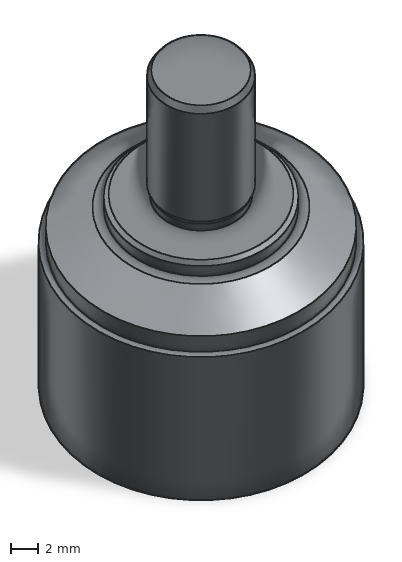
import cadquery as cq

base_top_z = 15.02
cap_shoulder_z = 16.67
cap_top_z = 18.65
collar_top_z = 20.0
neck_top_z = 20.7
shank_start_z = 21.15
stud_top_z = 33.0

base_diameter = 24.0
cap_diameter = 22.9
cap_top_diameter = 16.0
collar_diameter = 14.35
neck_diameter = 7.6
shank_diameter = 8.0

collar_bevel_width = 0.35
collar_bevel_height = 0.3
tip_bevel_width = 0.33
tip_bevel_height = 0.55


def make_base():
    """Plain cylinder that carries the cap."""
    return cq.Workplane("XY").circle(base_diameter / 2).extrude(base_top_z)


def revolve_profile(outline):
    """Revolve a closed outline of (radius, height) points about the Z axis."""
    return cq.Workplane("XZ").polyline(outline).close().revolve(360, (0, 0, 0), (0, 1, 0))


def make_cap():
    """Short cylindrical band below a cone with a flat top."""
    cap_radius = cap_diameter / 2
    return revolve_profile([
        (0, base_top_z),
        (cap_radius, base_top_z),
        (cap_radius, cap_shoulder_z),
        (cap_top_diameter / 2, cap_top_z),
        (0, cap_top_z),
    ])


def make_stud():
    """Bevelled collar, relief neck and shank with a bevelled tip."""
    collar_radius = collar_diameter / 2
    neck_radius = neck_diameter / 2
    shank_radius = shank_diameter / 2
    return revolve_profile([
        (0, cap_top_z),
        (collar_radius, cap_top_z),
        (collar_radius, collar_top_z - collar_bevel_height),
        (collar_radius - collar_bevel_width, collar_top_z),
        (neck_radius, collar_top_z),
        (neck_radius, neck_top_z),
        (shank_radius, shank_start_z),
        (shank_radius, stud_top_z - tip_bevel_height),
        (shank_radius - tip_bevel_width, stud_top_z),
        (0, stud_top_z),
    ])


base = make_base()
cap = make_cap()
stud = make_stud()

result = cq.Compound.makeCompound([base.val(), cap.val(), stud.val()])